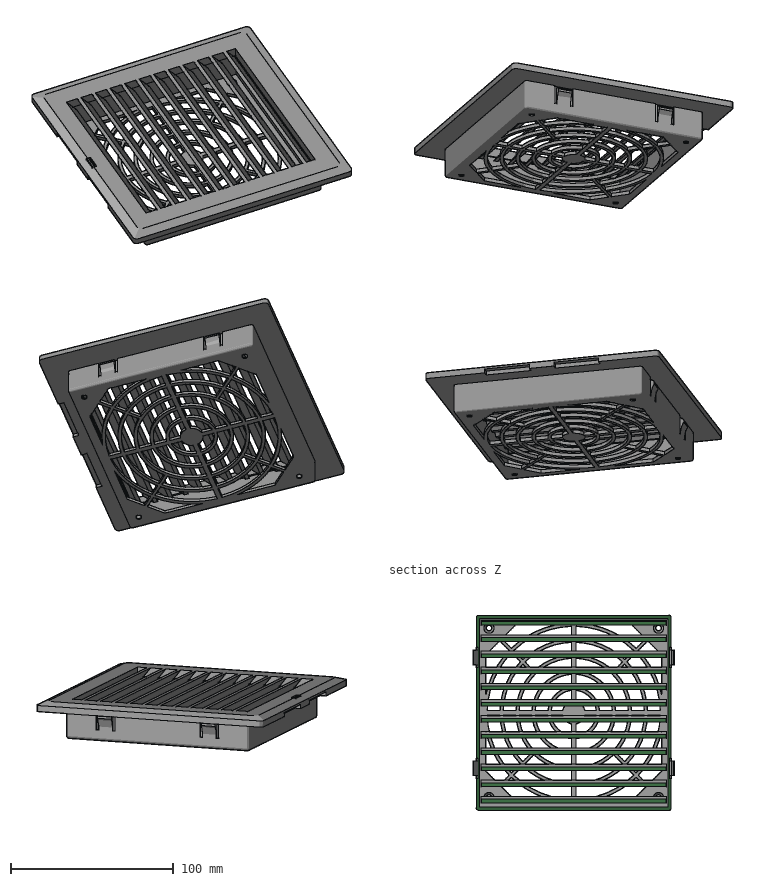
import cadquery as cq
import math

side = 149.0
total_height = 24.5

plate_thickness = 5.8
plate_corner_radius = 2.7
bevel_width = 5.5
bevel_height = 2.0
plate_bottom = total_height - plate_thickness
opening_half = 56.9

slat_count = 11
slat_span = 99.4
slat_pitch = slat_span / (slat_count - 1)
slat_width = 2.5
slat_run = 7.0
slat_drop = 8.6

grip_length = 28.5
grip_centre_x = 22.0
grip_height = 2.5
grip_depth = 3.7

latch_length = 8.8
pocket_back_y = -67.0
pocket_width = 3.0
pocket_bottom = 21.5
latch_width = 2.4
latch_slope_width = 1.3
latch_top = 24.3
latch_back_top = 22.8

box_side = 120.2
box_half = box_side / 2
box_wall = 2.2
box_edge_radius = 1.6
floor_thickness = 2.2
cavity_half = box_half - box_wall

window_half = 54.1
window_corner_sum = 89.8
ring_count = 5
first_ring_radius = 14.9
ring_pitch = 9.8
ring_width = 2.1
spoke_width = 3.0
diagonal_spoke_width = 2.0
diagonal_first_ring = 2
hub_radius = 7.0

screw_place = 52.2
screw_hole_diameter = 3.3
screw_head_diameter = 6.3
screw_head_angle = 90

clip_centre_y = 34.1
clip_width = 9.1
clip_gap = 1.6
clip_groove_depth = 1.2
clip_bottom = 6.9
clip_top = 17.7
nose_reach = 2.0
nose_shoulder_reach = 1.3
nose_shoulder = 16.8
nose_crest = 16.0
nose_face_bottom = 14.6
nose_root = 9.0
nose_hollow_reach = 0.6


def block(x_range, y_range, z_range):
    """Axis-aligned block between pairs of coordinates."""
    corner = cq.Vector(x_range[0], y_range[0], z_range[0])
    return cq.Workplane(
        cq.Solid.makeBox(
            x_range[1] - x_range[0],
            y_range[1] - y_range[0],
            z_range[1] - z_range[0],
            corner,
        )
    )


def make_plate():
    """Square plate whose top edge is bevelled all round."""
    rim_height = plate_thickness - bevel_height
    rim = (
        cq.Workplane("XY", origin=(0, 0, plate_bottom))
        .rect(side, side)
        .extrude(rim_height)
        .edges("|Z")
        .fillet(plate_corner_radius)
    )
    top_side = side - 2 * bevel_width
    outer = cq.Sketch().rect(side, side).vertices().fillet(plate_corner_radius)
    inner = cq.Sketch().rect(top_side, top_side).vertices().fillet(plate_corner_radius)
    bevel = (
        cq.Workplane("XY", origin=(0, 0, plate_bottom + rim_height))
        .placeSketch(outer, inner.moved(cq.Location(cq.Vector(0, 0, bevel_height))))
        .loft(ruled=True)
    )
    return rim.union(bevel)


def make_slat(y_centre):
    """Slat with a flat top strip, falling away towards +Y."""
    front = y_centre - slat_width / 2
    back = y_centre + slat_width / 2
    low = total_height - slat_drop
    return (
        cq.Workplane("YZ", origin=(-opening_half, 0, 0))
        .moveTo(front, total_height)
        .lineTo(back, total_height)
        .lineTo(back + slat_run, low)
        .lineTo(front + slat_run, low)
        .close()
        .extrude(2 * opening_half)
    )


def make_cover():
    cover = make_plate()
    last_slat_y = -slat_span / 2 - slat_pitch
    opening_front = last_slat_y + slat_width / 2
    x_range = (-opening_half, opening_half)
    cover = cover.cut(block(x_range, (opening_front, opening_half), (plate_bottom, total_height)))

    slat_room = block(x_range, (-box_half, opening_half), (0, total_height))
    for index in range(slat_count + 1):
        slat = make_slat(last_slat_y + index * slat_pitch)
        cover = cover.union(slat.intersect(slat_room))

    for x_centre in (-grip_centre_x, grip_centre_x):
        cover = cover.cut(
            block(
                (x_centre - grip_length / 2, x_centre + grip_length / 2),
                (-side / 2, -side / 2 + grip_depth),
                (plate_bottom, plate_bottom + grip_height),
            )
        )

    pocket = block(
        (-latch_length / 2, latch_length / 2),
        (pocket_back_y - pocket_width, pocket_back_y),
        (pocket_bottom, total_height),
    )
    return cover.cut(pocket)


def make_latch():
    """Small tongue with a slope at its back, standing on the pocket floor."""
    front = pocket_back_y - latch_width
    return (
        cq.Workplane("YZ", origin=(-latch_length / 2, 0, 0))
        .moveTo(front, pocket_bottom)
        .lineTo(pocket_back_y, pocket_bottom)
        .lineTo(pocket_back_y, latch_back_top)
        .lineTo(pocket_back_y - latch_slope_width, latch_top)
        .lineTo(front, latch_top)
        .close()
        .extrude(latch_length)
    )


def make_window():
    """Square window with its corners cut off at 45 degrees."""
    short = window_corner_sum - window_half
    points = []
    for x_sign, y_sign in ((1, 1), (-1, 1), (-1, -1), (1, -1)):
        corner = [(x_sign * window_half, y_sign * short), (x_sign * short, y_sign * window_half)]
        points += corner if x_sign == y_sign else corner[::-1]
    return cq.Workplane("XY").polyline(points).close().extrude(floor_thickness)


def ring_radius(index):
    return first_ring_radius + index * ring_pitch


def make_spoke(start_radius, width, angle):
    """Bar running outwards past the window at an angle in degrees."""
    end_radius = math.hypot(window_half, window_half)
    bar = block((start_radius, end_radius), (-width / 2, width / 2), (0, floor_thickness))
    return bar.rotate((0, 0, 0), (0, 0, 1), angle)


def make_grille():
    """Hub, rings and spokes, trimmed to the window."""
    grille = cq.Workplane("XY").circle(hub_radius).extrude(floor_thickness)
    for index in range(ring_count):
        radius = ring_radius(index)
        ring = (
            cq.Workplane("XY")
            .circle(radius + ring_width / 2)
            .circle(radius - ring_width / 2)
            .extrude(floor_thickness)
        )
        grille = grille.union(ring)
    for angle in (0, 90, 180, 270):
        grille = grille.union(make_spoke(0, spoke_width, angle))
        diagonal_start = ring_radius(diagonal_first_ring)
        grille = grille.union(make_spoke(diagonal_start, diagonal_spoke_width, angle + 45))
    return grille.intersect(make_window())


def make_clip_groove(y_centre):
    """Shallow recess in the +X wall that frees the clip on three sides."""
    half = clip_width / 2
    y_range = (y_centre - half - clip_gap, y_centre + half + clip_gap)
    x_range = (box_half - clip_groove_depth, box_half)
    recess = block(x_range, y_range, (clip_bottom, plate_bottom))
    return recess.cut(block(x_range, (y_centre - half, y_centre + half), (clip_bottom, clip_top)))


def make_clip_nose(y_centre):
    """Hooked nose on the +X wall: slope above, hollow curve below."""
    tip = box_half + nose_reach
    buried = box_half - clip_groove_depth
    return (
        cq.Workplane("XZ", origin=(0, y_centre + clip_width / 2, 0))
        .moveTo(buried, nose_root)
        .lineTo(box_half, nose_root)
        .threePointArc(
            (box_half + nose_hollow_reach, (nose_root + nose_face_bottom) / 2),
            (tip, nose_face_bottom),
        )
        .lineTo(tip, nose_crest)
        .lineTo(box_half + nose_shoulder_reach, nose_shoulder)
        .lineTo(box_half, clip_top)
        .lineTo(buried, clip_top)
        .close()
        .extrude(clip_width)
    )


def make_box():
    box = (
        cq.Workplane("XY")
        .rect(box_side, box_side)
        .extrude(plate_bottom)
        .edges("|Z or <Z")
        .fillet(box_edge_radius)
    )
    cavity_range = (-cavity_half, cavity_half)
    box = box.cut(block(cavity_range, cavity_range, (floor_thickness, plate_bottom)))
    box = box.cut(make_window()).union(make_grille())
    box = (
        box.copyWorkplane(cq.Workplane("XY", origin=(0, 0, floor_thickness)))
        .rect(2 * screw_place, 2 * screw_place, forConstruction=True)
        .vertices()
        .cskHole(screw_hole_diameter, screw_head_diameter, screw_head_angle)
    )

    for y_centre in (-clip_centre_y, clip_centre_y):
        groove = make_clip_groove(y_centre)
        nose = make_clip_nose(y_centre)
        box = box.cut(groove).union(nose)
        box = box.cut(groove.mirror("YZ")).union(nose.mirror("YZ"))
    return box


cover = make_cover()
box = make_box()
latch = make_latch()

result = cq.Compound.makeCompound([cover.val(), box.val(), latch.val()])